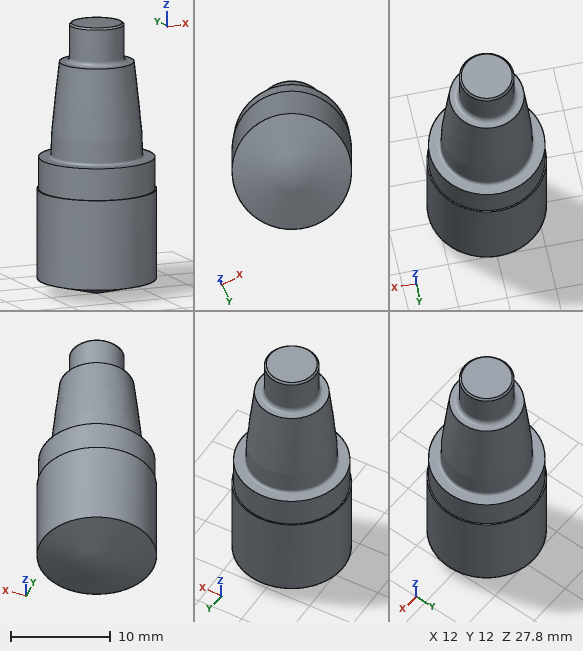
import cadquery as cq

total_height = 27.8
tip_height = 1.6
base_top = 10.8
collar_top = 14.05
taper_start = 16.55
pin_length = 3.98

base_radius = 12.0 / 2
collar_radius = 11.7 / 2
neck_radius = 4.6
taper_start_radius = 4.53
shoulder_radius = 3.75
pin_radius = 5.5 / 2
taper_bulge = 0.03

neck_fillet = 0.3
pin_fillet = 0.5
pin_chamfer = 0.2

shoulder_height = total_height - pin_length
neck_fillet_top = collar_top + neck_fillet
taper_mid_height = (taper_start + shoulder_height) / 2
taper_mid_radius = (taper_start_radius + shoulder_radius) / 2 + taper_bulge
neck_mid_height = (neck_fillet_top + taper_start) / 2
neck_mid_radius = taper_start_radius + (neck_radius - taper_start_radius) * 3 / 4
quarter_arc_inset = 1 - 0.5 ** 0.5


def revolve_profile(profile):
    """Revolve a closed radius-height profile about the Z axis."""
    return profile.close().revolve(360, (0, 0, 0), (0, 1, 0))


def make_base():
    """Plain cylinder ending in a shallow conical point."""
    return revolve_profile(
        cq.Workplane("XZ")
        .moveTo(0, 0)
        .lineTo(base_radius, tip_height)
        .lineTo(base_radius, base_top)
        .lineTo(0, base_top)
    )


def make_spigot():
    """Collar, filleted bulging taper and end pin standing on the base."""
    return revolve_profile(
        cq.Workplane("XZ")
        .moveTo(0, base_top)
        .lineTo(collar_radius, base_top)
        .lineTo(collar_radius, collar_top)
        .lineTo(neck_radius + neck_fillet, collar_top)
        .threePointArc(
            (neck_radius + neck_fillet * quarter_arc_inset, collar_top + neck_fillet * quarter_arc_inset),
            (neck_radius, neck_fillet_top),
        )
        .threePointArc((neck_mid_radius, neck_mid_height), (taper_start_radius, taper_start))
        .threePointArc((taper_mid_radius, taper_mid_height), (shoulder_radius, shoulder_height))
        .lineTo(pin_radius + pin_fillet, shoulder_height)
        .threePointArc(
            (pin_radius + pin_fillet * quarter_arc_inset, shoulder_height + pin_fillet * quarter_arc_inset),
            (pin_radius, shoulder_height + pin_fillet),
        )
        .lineTo(pin_radius, total_height - pin_chamfer)
        .lineTo(pin_radius - pin_chamfer, total_height)
        .lineTo(0, total_height)
    )


base = make_base()
spigot = make_spigot()

result = cq.Compound.makeCompound([base.val(), spigot.val()])